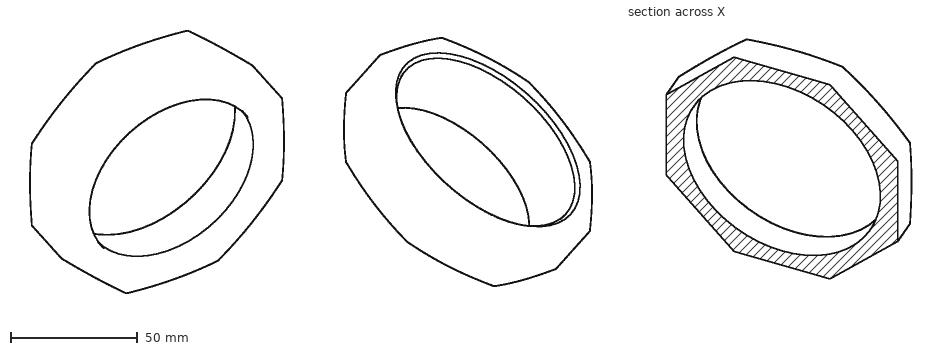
import math

import cadquery as cq

width = 28.0
across_flats = 100.0
side_count = 8
half_width = width / 2
corner_radius = across_flats / 2 / math.cos(math.pi / side_count)

face_radius = 49.0
corner_chamfer_angle = 20.0

edge_round = 0.5

bore_radius = 42.4
bore_mouth_radius = 43.9
bore_mouth_depth = 1.5
lip_radius = 38.45
lip_thickness = 5.0
lip_edge_round = 0.2
bore_root_round = 0.3


def octagon_prism():
    """Octagonal bar along X with flats facing +-Y and +-Z."""
    return (
        cq.Workplane("YZ")
        .polygon(side_count, 2 * corner_radius)
        .extrude(half_width, both=True)
        .rotate((0, 0, 0), (1, 0, 0), 180 / side_count)
    )


def chamfer_envelope():
    """Turned blank whose conical ends cut back the octagon corners."""
    blank_clearance = 1.0
    blank_radius = corner_radius + blank_clearance
    cone_depth = (blank_radius - face_radius) * math.tan(math.radians(corner_chamfer_angle))
    profile = [
        (-half_width, 0),
        (-half_width, face_radius),
        (-half_width + cone_depth, blank_radius),
        (half_width - cone_depth, blank_radius),
        (half_width, face_radius),
        (half_width, 0),
    ]
    return cq.Workplane("XY").polyline(profile).close().revolve(360, (0, 0, 0), (1, 0, 0))


def stepped_bore():
    """Through hole, wider bore and bevelled mouth as one turned cutter."""
    profile = [
        (-half_width, 0),
        (-half_width, -bore_mouth_radius),
        (-half_width + bore_mouth_depth, -bore_radius),
        (half_width - lip_thickness, -bore_radius),
        (half_width - lip_thickness, -lip_radius),
        (half_width, -lip_radius),
        (half_width, 0),
    ]
    return cq.Workplane("XZ").polyline(profile).close().revolve(360, (0, 0, 0), (1, 0, 0))


def circles_at(body, x, radius):
    """Circular edges of the given radius lying in the plane at x."""
    tolerance = 1e-3
    return [
        edge
        for edge in body.edges("%CIRCLE").vals()
        if abs(edge.Center().x - x) < tolerance and abs(edge.radius() - radius) < tolerance
    ]


def rounded_lip(body):
    """Round both inner edges of the lip and the corner where its shoulder meets the bore."""
    shoulder_x = half_width - lip_thickness
    lip_edges = circles_at(body, shoulder_x, lip_radius) + circles_at(body, half_width, lip_radius)
    body = body.newObject(lip_edges).fillet(lip_edge_round)
    return body.newObject(circles_at(body, shoulder_x, bore_radius)).fillet(bore_root_round)


outer_body = octagon_prism().intersect(chamfer_envelope()).edges().fillet(edge_round)
result = rounded_lip(outer_body.cut(stepped_bore()))